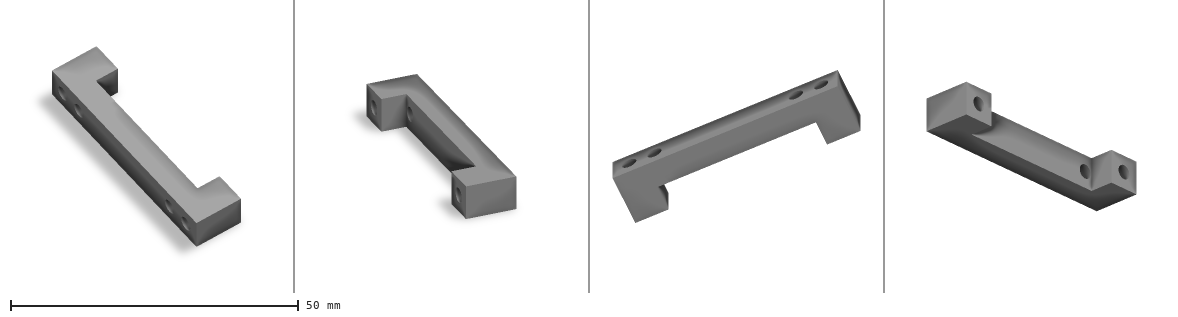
import cadquery as cq

length = 42.95
depth = 9.55
height = 6.35

foot_width = 6.35
bar_depth = 4.8

hole_diameter = 2.7
outer_hole_inset = 3.18
hole_pitch = 4.8


def make_body():
    """U-shaped block, with the gap between the feet open toward +Y."""
    gap_width = length - 2 * foot_width
    gap_depth = depth - bar_depth
    block = cq.Workplane("XY").box(length, depth, height)
    gap = (
        cq.Workplane("XY")
        .box(gap_width, gap_depth, height)
        .translate((0, (depth - gap_depth) / 2, 0))
    )
    return block.cut(gap)


def make_holes():
    """Cylinders through the full depth, mirrored about the middle of the bar."""
    outer_x = length / 2 - outer_hole_inset
    inner_x = outer_x - hole_pitch
    centers = [(x, 0) for x in (-outer_x, -inner_x, inner_x, outer_x)]
    return (
        cq.Workplane("XZ")
        .pushPoints(centers)
        .circle(hole_diameter / 2)
        .extrude(depth / 2, both=True)
    )


result = make_body().cut(make_holes())